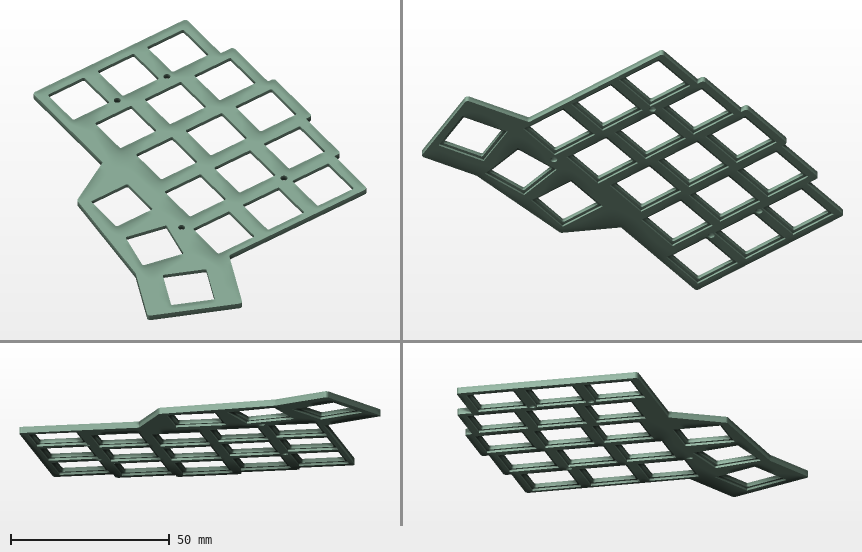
import cadquery as cq
import math

thickness = 2.0
corner_radius = 1.0
key_pitch = 19.05
column_margin = 10.425
plate_right_margin = 9.475

rows = 3
stagger_step = key_pitch / 8
column_shifts = [steps * stagger_step for steps in (0, 2, 3, 2, 1)]
columns = len(column_shifts)

switch_size = 14.0
switch_corner_radius = 0.5
clip_thickness = 1.3
recess_ledge = 1.0
recess_size = switch_size + 2 * recess_ledge

outer_thumb_angle = -24.0
outer_thumb_x = 100.7
outer_thumb_y = -10.5
thumb_switches = [
    (column_margin + 2.5 * key_pitch, -6.3, 0.0),
    (78.95, -8.4, outer_thumb_angle / 2),
    (outer_thumb_x, outer_thumb_y, outer_thumb_angle),
]

thumb_side_margin = 10.45
thumb_end_margin = 15.2

notch_x = 38.5
slant_angle = 60.0
slant_drop = 16.6
thumb_edge_angle = 6.0

screw_diameter = 2.2
left_screw_x = 18.0
right_screw_x = column_margin + 3.5 * key_pitch
row_gaps_y = [column_margin + (row + 0.5) * key_pitch for row in range(rows - 1)]
screw_centres = [(left_screw_x, y) for y in row_gaps_y] + [
    (right_screw_x, row_gaps_y[1] + 1.5 * stagger_step),
    (right_screw_x, column_margin + stagger_step - key_pitch / 2),
]


def column_x(column):
    return column_margin + column * key_pitch


def column_top(column):
    return 2 * column_margin + (rows - 1) * key_pitch + column_shifts[column]


def outer_thumb_point(along, across):
    """Plate coordinates of a point given in the outer thumb switch frame."""
    angle = math.radians(outer_thumb_angle)
    return (
        outer_thumb_x + along * math.cos(angle) - across * math.sin(angle),
        outer_thumb_y + along * math.sin(angle) + across * math.cos(angle),
    )


def plate():
    right_x = column_x(columns - 1) + plate_right_margin
    thumb_slope = math.tan(math.radians(outer_thumb_angle))
    thumb_top = outer_thumb_point(thumb_side_margin, thumb_end_margin)
    thumb_bottom = outer_thumb_point(thumb_side_margin, -thumb_end_margin)
    right_foot = (right_x, thumb_top[1] + (right_x - thumb_top[0]) * thumb_slope)

    slant_end = (notch_x + slant_drop / math.tan(math.radians(slant_angle)), -slant_drop)
    edge_slope = -math.tan(math.radians(thumb_edge_angle))
    bend_x = (
        thumb_bottom[1] - slant_end[1] + edge_slope * slant_end[0] - thumb_slope * thumb_bottom[0]
    ) / (edge_slope - thumb_slope)
    bend = (bend_x, slant_end[1] + edge_slope * (bend_x - slant_end[0]))

    top_edge = [(0, column_top(0))]
    rounded = [(0, 0), top_edge[0]]
    for column in range(columns - 1):
        here = column_top(column)
        after = column_top(column + 1)
        if after > here:
            step_x = column_x(column + 1) - column_margin
        else:
            step_x = column_x(column) + column_margin
        top_edge += [(step_x, here), (step_x, after)]
        rounded.append((step_x, max(here, after)))
    top_edge.append((right_x, column_top(columns - 1)))

    lower_edge = [right_foot, thumb_top, thumb_bottom, bend, slant_end]
    rounded += [top_edge[-1]] + lower_edge
    outline = [(0, 0)] + top_edge + lower_edge + [(notch_x, 0)]
    body = cq.Workplane("XY").polyline(outline).close().extrude(thickness)
    for x, y in rounded:
        edge = cq.selectors.NearestToPointSelector((x, y, thickness / 2))
        body = body.edges("|Z").edges(edge).fillet(corner_radius)
    return body


def switch_cutter(x, y, angle=0.0):
    """Square opening with a wider, shallow recess on the underside."""
    cutter = cq.Workplane("XY").rect(switch_size, switch_size).extrude(thickness)
    cutter = cutter.edges("|Z").fillet(switch_corner_radius)
    recess = cq.Workplane("XY").rect(recess_size, recess_size).extrude(thickness - clip_thickness)
    cutter = cutter.union(recess)
    return cutter.rotate((0, 0, 0), (0, 0, 1), angle).translate((x, y, 0))


def cut_switches(body):
    for column, shift in enumerate(column_shifts):
        for row in range(rows):
            body = body.cut(switch_cutter(column_x(column), column_margin + row * key_pitch + shift))
    for x, y, angle in thumb_switches:
        body = body.cut(switch_cutter(x, y, angle))
    return body


def cut_screw_holes(body):
    holes = cq.Workplane("XY").pushPoints(screw_centres)
    holes = holes.circle(screw_diameter / 2).extrude(thickness)
    return body.cut(holes)


result = cut_screw_holes(cut_switches(plate()))